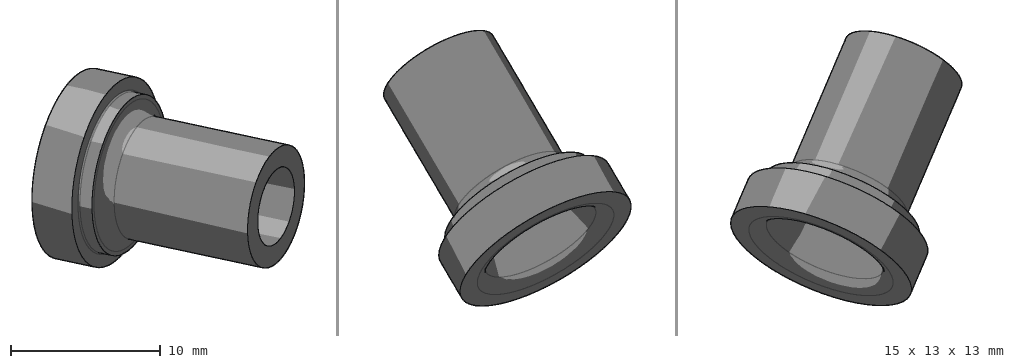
import cadquery as cq
import math

total_length = 15.0
flange_thickness = 3.0
shoulder_end = 4.0

flange_diameter = 13.0
shoulder_diameter = 11.0
tube_diameter = 8.4

flange_fillet = 0.1
neck_fillet = 1.0

bore_diameter = 5.4
mouth_radius = 1.0
entry_half_angle = math.radians(15.0)
throat_radius = 12.0
throat_end = 8.0


def arc_point(center, radius, angle):
    """Point (x, r) on a circle, with the angle measured from +X."""
    return (center[0] + radius * math.cos(angle), center[1] + radius * math.sin(angle))


def make_body():
    """Flange, shoulder and tube as one solid of revolution, without the bore."""
    flange_r = flange_diameter / 2
    shoulder_r = shoulder_diameter / 2
    tube_r = tube_diameter / 2
    corner = math.radians(225)
    flange_center = (flange_thickness + flange_fillet, shoulder_r + flange_fillet)
    neck_center = (shoulder_end + neck_fillet, tube_r + neck_fillet)
    profile = (
        cq.Workplane("XY")
        .moveTo(0, 0)
        .lineTo(0, flange_r)
        .lineTo(flange_thickness, flange_r)
        .lineTo(flange_thickness, flange_center[1])
        .threePointArc(arc_point(flange_center, flange_fillet, corner), (flange_center[0], shoulder_r))
        .lineTo(shoulder_end, shoulder_r)
        .lineTo(shoulder_end, neck_center[1])
        .threePointArc(arc_point(neck_center, neck_fillet, corner), (neck_center[0], tube_r))
        .lineTo(total_length, tube_r)
        .lineTo(total_length, 0)
        .close()
    )
    return profile.revolve(360, (0, 0, 0), (1, 0, 0))


def make_bore():
    """Rounded mouth, tangent entry cone, and a long tangent curve into the straight bore."""
    bore_r = bore_diameter / 2

    throat_center = (throat_end, bore_r + throat_radius)
    throat_start_angle = -math.pi / 2 - entry_half_angle
    throat_start = arc_point(throat_center, throat_radius, throat_start_angle)
    throat_middle = arc_point(throat_center, throat_radius, (throat_start_angle - math.pi / 2) / 2)

    mouth_end_x = mouth_radius * (1 - math.sin(entry_half_angle))
    mouth_end_r = throat_start[1] + (throat_start[0] - mouth_end_x) * math.tan(entry_half_angle)
    mouth_r = mouth_end_r + mouth_radius * math.cos(entry_half_angle)
    mouth_middle_angle = (throat_start_angle - math.pi) / 2
    mouth_middle = arc_point((mouth_radius, mouth_r), mouth_radius, mouth_middle_angle)

    profile = (
        cq.Workplane("XY")
        .moveTo(0, 0)
        .lineTo(0, mouth_r)
        .threePointArc(mouth_middle, (mouth_end_x, mouth_end_r))
        .lineTo(*throat_start)
        .threePointArc(throat_middle, (throat_end, bore_r))
        .lineTo(total_length, bore_r)
        .lineTo(total_length, 0)
        .close()
    )
    return profile.revolve(360, (0, 0, 0), (1, 0, 0))


result = make_body().cut(make_bore())